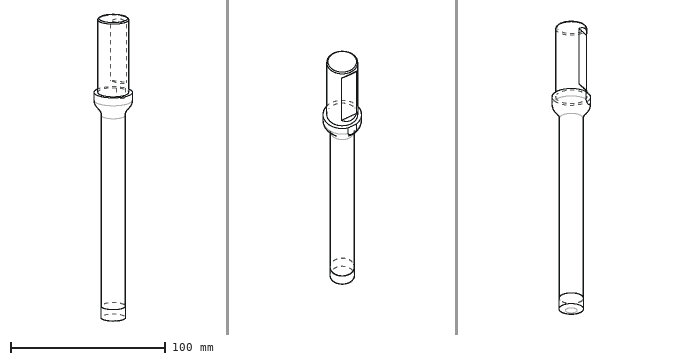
import cadquery as cq

TOTAL_LENGTH = 205.0
SHANK_LENGTH = 50.0
COLLAR_HEIGHT = 5.3
TRANSITION_HEIGHT = 10.2
TIP_TOP_Z = 10.2

SHANK_RADIUS = 20.0 / 2
COLLAR_RADIUS = 25.0 / 2
SHAFT_RADIUS = 15.5 / 2
TOP_CHAMFER = 0.8

SHANK_FLAT_Y = 8.2
SHANK_FLAT_TOP_MARGIN = 5.0
SHANK_FLAT_BOTTOM_MARGIN = 5.1
COLLAR_FLAT_Y = 12.0
CUT_CLEARANCE = 2.0

TIP_RADIUS = 16.0 / 2
TIP_EDGE_Z = 2.5
POINT_RADIUS = 7.5 / 2
POINT_HEIGHT = 1.5

COLLAR_TOP_Z = TOTAL_LENGTH - SHANK_LENGTH
COLLAR_BOTTOM_Z = COLLAR_TOP_Z - COLLAR_HEIGHT
SHAFT_TOP_Z = COLLAR_BOTTOM_Z - TRANSITION_HEIGHT


def make_holder_blank():
    """Shank, collar, curved transition and shaft, revolved about Z."""
    profile = (
        cq.Workplane("YZ")
        .moveTo(0, TOTAL_LENGTH)
        .lineTo(SHANK_RADIUS - TOP_CHAMFER, TOTAL_LENGTH)
        .lineTo(SHANK_RADIUS, TOTAL_LENGTH - TOP_CHAMFER)
        .lineTo(SHANK_RADIUS, COLLAR_TOP_Z)
        .lineTo(COLLAR_RADIUS, COLLAR_TOP_Z)
        .lineTo(COLLAR_RADIUS, COLLAR_BOTTOM_Z)
        .spline([(SHAFT_RADIUS, SHAFT_TOP_Z)], tangents=[(0, -1), (0, -1)], includeCurrent=True)
        .lineTo(SHAFT_RADIUS, TIP_TOP_Z)
        .lineTo(0, TIP_TOP_Z)
        .close()
    )
    return profile.revolve(360, (0, 0, 0), (0, 1, 0))


def make_shank_flat_cutter():
    """Clamping flat on the +Y side, with 45 degree ends."""
    depth = SHANK_RADIUS - SHANK_FLAT_Y
    bottom_z = COLLAR_TOP_Z + SHANK_FLAT_BOTTOM_MARGIN
    top_z = TOTAL_LENGTH - SHANK_FLAT_TOP_MARGIN
    return (
        cq.Workplane("YZ")
        .moveTo(SHANK_FLAT_Y, bottom_z)
        .lineTo(SHANK_RADIUS, bottom_z - depth)
        .lineTo(SHANK_RADIUS, top_z + depth)
        .lineTo(SHANK_FLAT_Y, top_z)
        .close()
        .extrude(SHANK_RADIUS, both=True)
    )


def make_collar_flat_cutter():
    """Locating flat on the +Y side of the collar."""
    return cq.Workplane("XY", origin=(0, COLLAR_FLAT_Y, SHAFT_TOP_Z)).box(
        2 * COLLAR_RADIUS,
        COLLAR_RADIUS,
        COLLAR_TOP_Z - SHAFT_TOP_Z + CUT_CLEARANCE,
        centered=(True, False, False),
    )


def make_holder():
    return make_holder_blank().cut(make_shank_flat_cutter()).cut(make_collar_flat_cutter())


def make_drill_tip():
    """Cylindrical tip with a shallow cutting cone and a steeper center point."""
    return (
        cq.Workplane("XZ")
        .moveTo(0, 0)
        .lineTo(POINT_RADIUS, POINT_HEIGHT)
        .lineTo(TIP_RADIUS, TIP_EDGE_Z)
        .lineTo(TIP_RADIUS, TIP_TOP_Z)
        .lineTo(0, TIP_TOP_Z)
        .close()
        .revolve(360, (0, 0, 0), (0, 1, 0))
    )


holder = make_holder()
drill_tip = make_drill_tip()

result = cq.Compound.makeCompound([holder.val(), drill_tip.val()])